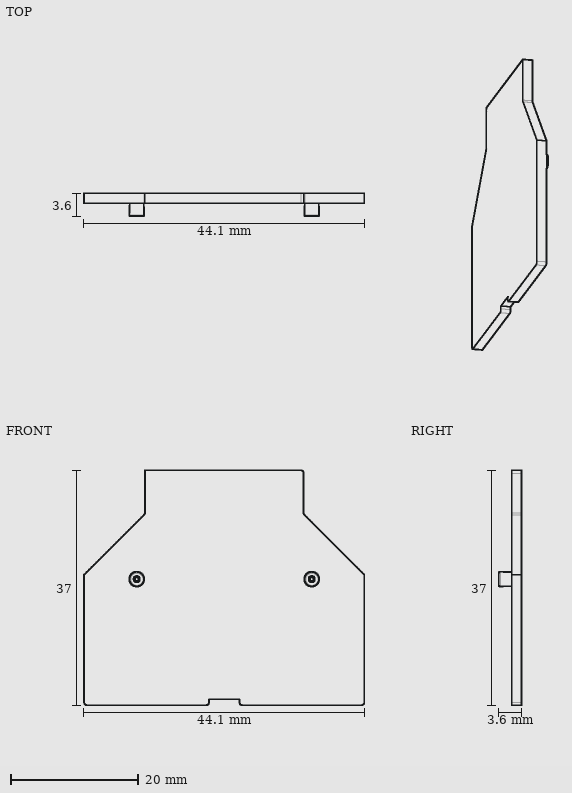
import cadquery as cq

width = 44.1
height = 37.0
thickness = 1.6
tab_width = 24.95
shoulder_base = 20.5
notch_width = 4.75
notch_depth = 0.93
corner_radius = 0.5

total_depth = 3.6
pin_spacing = 27.5
pin_height = 19.85
pin_root_diameter = 2.25
pin_tip_diameter = 2.4
tip_fillet = 0.2
hole_mouth_diameter = 1.0
hole_floor_diameter = 0.57
hole_depth = 1.32

half_width = width / 2
half_tab = tab_width / 2
half_notch = notch_width / 2
shoulder_top = shoulder_base + half_width - half_tab
pin_tip_y = thickness - total_depth


def make_plate():
    """Symmetric shouldered plate with a notch in its lower edge, from Y = 0 to +Y."""
    right_side = [
        (half_notch, notch_depth),
        (half_notch, 0),
        (half_width, 0),
        (half_width, shoulder_base),
        (half_tab, shoulder_top),
        (half_tab, height),
    ]
    left_side = [(-x, z) for x, z in reversed(right_side)]
    plate = cq.Workplane("XZ").polyline(right_side + left_side).close().extrude(-thickness)

    rounded_corners = [
        (half_notch, 0),
        (-half_notch, 0),
        (half_width, 0),
        (-half_width, 0),
        (half_tab, shoulder_top),
        (-half_tab, shoulder_top),
        (half_tab, height),
    ]
    for x, z in rounded_corners:
        corner = cq.selectors.NearestToPointSelector((x, thickness / 2, z))
        plate = plate.edges("|Y").edges(corner).fillet(corner_radius)
    return plate


def make_pin(x):
    """Flared pin whose root sits on the plate face."""
    pin = (
        cq.Workplane("XZ", origin=(x, 0, pin_height))
        .circle(pin_root_diameter / 2)
        .workplane(offset=-pin_tip_y)
        .circle(pin_tip_diameter / 2)
        .loft()
        .faces("<Y")
        .edges()
        .fillet(tip_fillet)
    )
    hole = (
        cq.Workplane("XZ", origin=(x, pin_tip_y, pin_height))
        .circle(hole_mouth_diameter / 2)
        .workplane(offset=-hole_depth)
        .circle(hole_floor_diameter / 2)
        .loft()
    )
    return pin.cut(hole)


result = make_plate()
for pin_x in (-pin_spacing / 2, pin_spacing / 2):
    result = result.union(make_pin(pin_x))